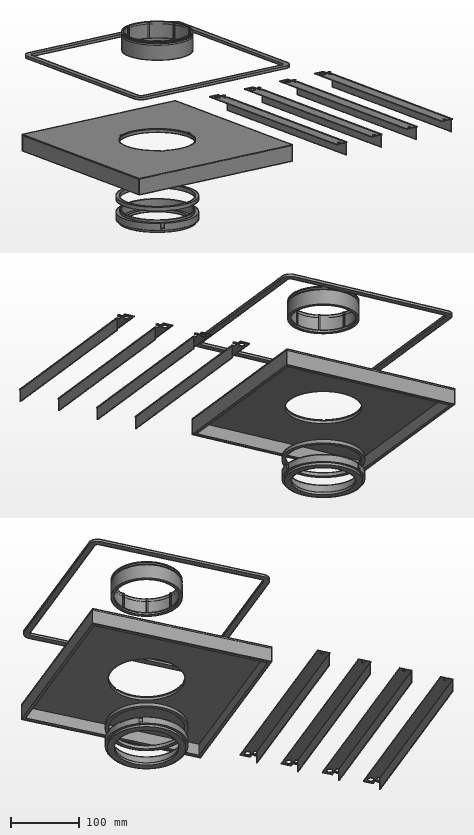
import cadquery as cq


case_size = 282.5
case_height = 25.5
case_base = 99.5
cover_thickness = 1.5
tray_thickness = 4.5
tray_height = case_height - cover_thickness
tray_x_size = case_size - 2 * cover_thickness
opening_radius = 56.0
notch_radius = 58.5
notch_width = 5.0
key_angles = [90, 210, 330]

gasket_size = 283.5
gasket_width = 9.0
gasket_thickness = 4.0
gasket_corner_radius = 13.5
gasket_base = 243.5

rail_count = 4
rail_pitch = 64.5
rail_left = -140.5
rail_right = 165.5
rail_sheet = 0.85
rail_height = 20.0
rail_front = 397.5
rail_back = 417.5
rail_axis_y = 406.0
rail_step_length = 17.5
rail_step_depth = 4.0
leg_end_gap = 1.5
rail_hole_radius = 4.5
rail_hole_offset = 8.5
knob_radius = 2.0
knob_centre_y = 418.5
knob_neck_width = 2.0
socket_radius = 2.0
socket_offset = 4.5
socket_slot_width = 2.0

plug_base = 261.5
plug_height = 28.5
plug_radius = 52.5
plug_bore_radius = 49.5
plug_lip_height = 4.0
plug_lip_radius = 48.0
groove_height = 4.0
groove_depth = 1.0
groove_below_top = 1.5
rib_count = 8
rib_width = 2.0
rib_embedding = 0.5

seal_base = 34.0
seal_thickness = 5.5
flange_radius = 61.0
spigot_radius = 55.0
seal_bore_radius = 55.5
collar_height = 18.0
foot_radius = 57.5
foot_height = 4.0
shoulder_height = 14.5
collar_bore_radius = 53.0
collar_lip_radius = 47.0
collar_lip_height = foot_height
pocket_depth = 3.5
pocket_height = 8.0


def disc(radius, height, base=0):
    return cq.Workplane("XY").workplane(offset=base).circle(radius).extrude(height)


def slab(x_size, y_size, height, base):
    return cq.Workplane("XY").workplane(offset=base).rect(x_size, y_size).extrude(height)


def box_between(x_min, x_max, y_min, y_max, z_min, z_max):
    block = cq.Workplane("XY").box(x_max - x_min, y_max - y_min, z_max - z_min, centered=False)
    return block.translate((x_min, y_min, z_min))


def radial_block(inner, outer, width, height, base, angle):
    block = box_between(inner, outer, -width / 2, width / 2, base, base + height)
    return block.rotate((0, 0, 0), (0, 0, 1), angle)


def make_cover():
    cover = slab(case_size, case_size, case_height, case_base)
    cover = cover.cut(slab(tray_x_size, case_size, tray_height, case_base))
    cover = cover.cut(disc(opening_radius, case_height, case_base))
    for angle in key_angles:
        notch = radial_block(0, notch_radius, notch_width, case_height, case_base, angle)
        cover = cover.cut(notch)
    return cover


def make_tray():
    tray = slab(tray_x_size, case_size, tray_height, case_base)
    hollow = slab(
        tray_x_size - 2 * tray_thickness,
        case_size - 2 * tray_thickness,
        tray_height - tray_thickness,
        case_base,
    )
    return tray.cut(hollow).cut(disc(opening_radius, case_height, case_base))


def make_gasket():
    outer = slab(gasket_size, gasket_size, gasket_thickness, gasket_base)
    inner_size = gasket_size - 2 * gasket_width
    inner = slab(inner_size, inner_size, gasket_thickness, gasket_base)
    outer = outer.edges("|Z").fillet(gasket_corner_radius)
    inner = inner.edges("|Z").fillet(gasket_corner_radius - gasket_width)
    return outer.cut(inner)


def make_rail(y_shift):
    base = case_base
    top = base + rail_height
    flange_base = top - rail_sheet
    step_x = rail_left + rail_step_length
    hole_x = rail_left + rail_hole_offset
    socket_x = rail_right - socket_offset

    rail = box_between(rail_left, rail_right, rail_front, rail_back, flange_base, top)
    step_y = rail_back - rail_step_depth
    rail = rail.cut(box_between(rail_left, step_x, step_y, rail_back, flange_base, top))

    leg_end = rail_right - leg_end_gap
    rail = rail.union(box_between(step_x, leg_end, rail_back - rail_sheet, rail_back, base, top))

    half_neck = knob_neck_width / 2
    neck = box_between(
        hole_x - half_neck, hole_x + half_neck,
        rail_axis_y, knob_centre_y,
        flange_base, top,
    )
    knob = disc(knob_radius, rail_sheet, flange_base).translate((hole_x, knob_centre_y, 0))
    hole = disc(rail_hole_radius, rail_sheet, flange_base).translate((hole_x, rail_axis_y, 0))
    rail = rail.union(neck).union(knob).cut(hole)

    half_slot = socket_slot_width / 2
    socket = disc(socket_radius, rail_sheet, flange_base).translate((socket_x, rail_axis_y, 0))
    slot = box_between(
        socket_x, rail_right, rail_axis_y - half_slot, rail_axis_y + half_slot, flange_base, top
    )
    return rail.cut(socket).cut(slot).translate((0, y_shift, 0))


def make_plug():
    top = plug_base + plug_height
    plug = disc(plug_radius, plug_height, plug_base)
    plug = plug.cut(disc(plug_bore_radius, plug_height, plug_base + plug_lip_height))
    plug = plug.cut(disc(plug_lip_radius, plug_height, plug_base))

    groove_top = top - groove_below_top
    groove_profile = [
        (plug_radius, groove_top),
        (plug_radius - groove_depth, groove_top - groove_height / 2),
        (plug_radius, groove_top - groove_height),
    ]
    groove = cq.Workplane("XZ").polyline(groove_profile).close().revolve(360, (0, 0, 0), (0, 1, 0))
    plug = plug.cut(groove)

    rib_outer = plug_bore_radius + rib_embedding
    for i in range(rib_count):
        angle = (i + 0.5) * 360 / rib_count
        plug = plug.union(
            radial_block(plug_lip_radius, rib_outer, rib_width, plug_height, plug_base, angle)
        )
    return plug


def make_seal():
    seal = disc(flange_radius, seal_thickness, seal_base)
    return seal.cut(disc(seal_bore_radius, seal_thickness, seal_base))


def make_collar():
    collar = disc(spigot_radius, collar_height)
    collar = collar.union(disc(foot_radius, foot_height))
    collar = collar.union(disc(flange_radius, shoulder_height - foot_height, foot_height))
    collar = collar.cut(disc(collar_bore_radius, collar_height, collar_lip_height))
    collar = collar.cut(disc(collar_lip_radius, collar_height))
    pocket_base = shoulder_height - pocket_height
    for angle in key_angles:
        pocket = radial_block(
            flange_radius - pocket_depth, flange_radius + pocket_depth,
            notch_width, pocket_height, pocket_base, angle,
        )
        collar = collar.cut(pocket)
    return collar


cover = make_cover()
tray = make_tray()
gasket = make_gasket()
rails = [make_rail(-i * rail_pitch) for i in range(rail_count)]
plug = make_plug()
seal = make_seal()
collar = make_collar()

result = cq.Compound.makeCompound(
    [
        cover.val(),
        tray.val(),
        gasket.val(),
        *[rail.val() for rail in rails],
        plug.val(),
        seal.val(),
        collar.val(),
    ]
)